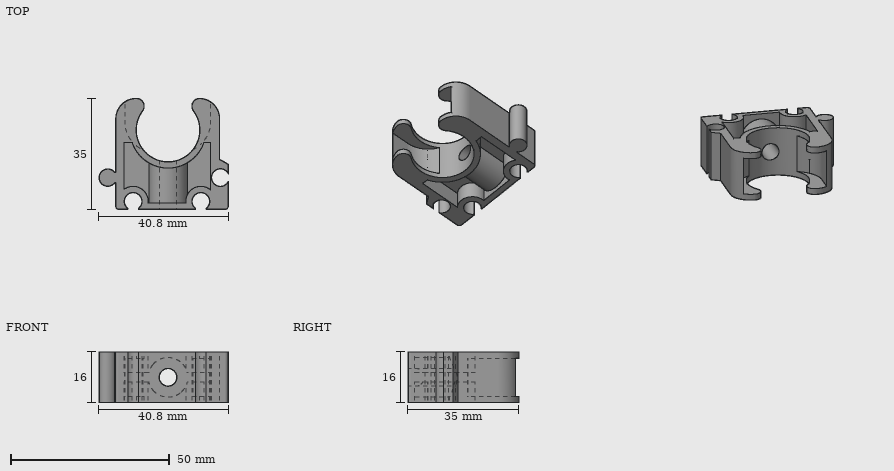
import cadquery as cq
import math

THICKNESS = 16.0
MID_Z = THICKNESS / 2
BODY_WIDTH = 32.8
BODY_HEIGHT = 35.0
BASE_CORNER_RADIUS = 1.0
ARM_RADIUS = 6.5

BORE_X = 16.5
BORE_Y = 25.0
BORE_RADIUS = 10.0
SEAT_WALL = 2.0
JAW_TIP_RADIUS = 2.5
JAW_TIP_OFFSET = 10.0
JAW_TIP_Y = BODY_HEIGHT - JAW_TIP_RADIUS

LINK_DIAMETER = 5.5
LINK_RADIUS = LINK_DIAMETER / 2
LINK_INSET = 2.5
PIN_NECK_WIDTH = 3.35
LINK_Y = 10.0
BASE_SOCKETS_X = (5.5, 26.85)
SOCKET_WALL = 2.0
SOCKET_LIP_RADIUS = 0.2

LUG_X = 35.5
LUG_TOP_Y = 14.2
LUG_SLOPE = math.radians(30)

WEB_THICKNESS = 3.0
POCKET_LEFT = 2.7
POCKET_RIGHT = 29.9
POCKET_BOTTOM = 2.0
POCKET_TOP = 21.0

SCREW_DIAMETER = 5.5
BOSS_DIAMETER = 12.5

LIP_THICKNESS = 2.0
ARM_WALL = 2.9
SLOT_FLOOR_Y = 18.0
SLOT_CORNER_RADIUS = 9.5


def cylinder_z(x, y, radius):
    """Cylinder along Z through the full thickness."""
    return cq.Workplane("XY", origin=(x, y, 0)).circle(radius).extrude(THICKNESS)


def cylinder_y(radius, y_start, y_end):
    """Cylinder on the screw axis."""
    plane = cq.Workplane("XZ", origin=(BORE_X, y_start, MID_Z))
    return plane.circle(radius).extrude(y_start - y_end)


def box(x_min, x_max, y_min, y_max, z_min=0.0, z_max=THICKNESS):
    """Block between the given limits, full thickness unless Z limits are given."""
    size = (x_max - x_min, y_max - y_min, z_max - z_min)
    return cq.Workplane("XY").box(*size, centered=False).translate((x_min, y_min, z_min))


def make_body():
    """Clip block with the side lug and the open pipe seat."""
    lug_foot_y = LUG_TOP_Y + (LUG_X - BODY_WIDTH) * math.tan(LUG_SLOPE)
    shoulder_y = BODY_HEIGHT - ARM_RADIUS
    arc_offset = ARM_RADIUS * math.sqrt(0.5)
    left_tip_x = BORE_X - JAW_TIP_OFFSET
    right_tip_x = BORE_X + JAW_TIP_OFFSET
    right_arc_x = BODY_WIDTH - ARM_RADIUS
    body = (
        cq.Workplane("XY")
        .moveTo(0, 0)
        .lineTo(LUG_X, 0)
        .lineTo(LUG_X, LUG_TOP_Y)
        .lineTo(BODY_WIDTH, lug_foot_y)
        .lineTo(BODY_WIDTH, shoulder_y)
        .threePointArc((right_arc_x + arc_offset, shoulder_y + arc_offset), (right_arc_x, BODY_HEIGHT))
        .lineTo(right_tip_x, BODY_HEIGHT)
        .lineTo(right_tip_x, JAW_TIP_Y)
        .lineTo(BORE_X, BORE_Y)
        .lineTo(left_tip_x, JAW_TIP_Y)
        .lineTo(ARM_RADIUS, BODY_HEIGHT)
        .threePointArc((ARM_RADIUS - arc_offset, shoulder_y + arc_offset), (0, shoulder_y))
        .close()
        .extrude(THICKNESS)
    )
    for corner_x in (0, LUG_X):
        corner = cq.selectors.NearestToPointSelector((corner_x, 0, MID_Z))
        body = body.edges("|Z").edges(corner).fillet(BASE_CORNER_RADIUS)
    for tip_x in (left_tip_x, right_tip_x):
        body = body.union(cylinder_z(tip_x, JAW_TIP_Y, JAW_TIP_RADIUS))
    return body.cut(cylinder_z(BORE_X, BORE_Y, BORE_RADIUS))


def make_pocket(z_min, z_max):
    """Pocket that leaves the seat wall, the socket walls and the screw boss standing."""
    pocket = box(POCKET_LEFT, POCKET_RIGHT, POCKET_BOTTOM, POCKET_TOP, z_min, z_max)
    pocket = pocket.cut(cylinder_z(BORE_X, BORE_Y, BORE_RADIUS + SEAT_WALL))
    for x in BASE_SOCKETS_X:
        pocket = pocket.cut(cylinder_z(x, LINK_INSET, LINK_RADIUS + SOCKET_WALL))
    return pocket.cut(cylinder_y(BOSS_DIAMETER / 2, 0, BORE_Y))


def make_jaw_slot():
    """Round-cornered slot between the lips, open at the jaw tips."""
    slot = box(
        ARM_WALL, BODY_WIDTH - ARM_WALL,
        SLOT_FLOOR_Y, BODY_HEIGHT,
        LIP_THICKNESS, THICKNESS - LIP_THICKNESS,
    )
    return slot.edges("|Z and <Y").fillet(SLOT_CORNER_RADIUS)


def make_pin():
    """Link pin on the -X side with its neck."""
    neck = box(-LINK_INSET, 0, LINK_Y - PIN_NECK_WIDTH / 2, LINK_Y + PIN_NECK_WIDTH / 2)
    return cylinder_z(-LINK_INSET, LINK_Y, LINK_RADIUS).union(neck)


def cut_base_socket(part, x):
    """Cut a socket that breaks out through the base and round its two lips."""
    part = part.cut(cylinder_z(x, LINK_INSET, LINK_RADIUS))
    half_mouth = math.sqrt(LINK_RADIUS**2 - LINK_INSET**2)
    for lip_x in (x - half_mouth, x + half_mouth):
        lip = cq.selectors.NearestToPointSelector((lip_x, 0, MID_Z))
        part = part.edges("|Z").edges(lip).fillet(SOCKET_LIP_RADIUS)
    return part


result = make_body().union(make_pin())
half_web = WEB_THICKNESS / 2
result = result.cut(make_pocket(MID_Z + half_web, THICKNESS))
result = result.cut(make_pocket(0, MID_Z - half_web))
result = result.cut(make_jaw_slot())
for socket_x in BASE_SOCKETS_X:
    result = cut_base_socket(result, socket_x)
result = result.cut(cylinder_z(LUG_X - LINK_INSET, LINK_Y, LINK_RADIUS))
result = result.cut(cylinder_y(SCREW_DIAMETER / 2, 0, BORE_Y))